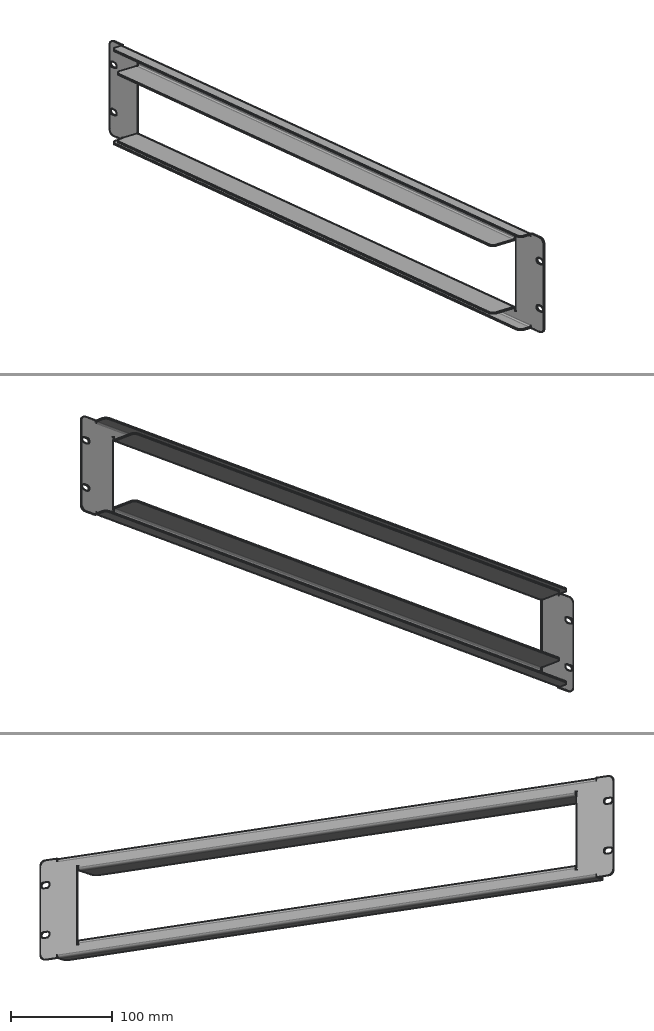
import cadquery as cq

panel_width = 676.5
panel_height = 100.0
sheet = 1.5
panel_corner_radius = 6.0

inner_bend_radius = 1.5
outer_bend_radius = inner_bend_radius + sheet
flange_corner_radius = 5.0

edge_flange_inset = 20.0
edge_flange_length = panel_width - 2 * edge_flange_inset
edge_flange_depth = 15.0

window_flange_length = 587.0
window_flange_depth = 30.0
window_flange_gap = 70.0
relief_width = 1.5
relief_depth = 1.5
window_width = window_flange_length + 2 * relief_width
window_height = window_flange_gap + 2 * outer_bend_radius

slot_length = 10.0
slot_width = 6.0
slot_edge_distance = 6.0
slot_spacing = 50.0




def panel_sheet():
    """Flat rectangular sheet with rounded corners."""
    sheet_blank = cq.Workplane("XZ").rect(panel_width, panel_height).extrude(sheet)
    return sheet_blank.edges("|Y").fillet(panel_corner_radius)


def window_opening():
    """Window between the bends, taller at both ends to form the bend reliefs."""
    opening = cq.Workplane("XZ").rect(window_width, window_height).extrude(sheet)
    reliefs = (
        cq.Workplane("XZ")
        .rarray(window_width - relief_width, 1, 2, 1)
        .rect(relief_width, window_height + 2 * relief_depth)
        .extrude(sheet)
    )
    return opening.union(reliefs)


def edge_fold_strips():
    """Strips of flat sheet that the folds of the edge flanges replace."""
    return (
        cq.Workplane("XZ")
        .rarray(1, panel_height, 1, 2)
        .rect(edge_flange_length, 2 * outer_bend_radius)
        .extrude(sheet)
    )


def mounting_slots():
    """Four horizontal slots near the ends of the panel."""
    return (
        cq.Workplane("XZ")
        .rarray(panel_width - 2 * slot_edge_distance, slot_spacing, 2, 2)
        .slot2D(slot_length, slot_width)
        .extrude(sheet)
    )


def folded_flange(length, depth, outer_z, panel_side):
    """Flange with its bend, for the upper half of the panel.

    outer_z is the height of the flange face on the outside of the bend.
    panel_side is -1 if the sheet continues below the fold and 1 if above.
    """
    bend_z = outer_z + panel_side * outer_bend_radius
    inner_z = outer_z + panel_side * sheet

    def mid_bend(radius):
        offset = radius * 0.5**0.5
        return offset - outer_bend_radius, bend_z - panel_side * offset

    flange = (
        cq.Workplane("YZ")
        .moveTo(0, bend_z)
        .threePointArc(mid_bend(outer_bend_radius), (-outer_bend_radius, outer_z))
        .lineTo(-depth, outer_z)
        .lineTo(-depth, inner_z)
        .lineTo(-outer_bend_radius, inner_z)
        .threePointArc(mid_bend(inner_bend_radius), (-sheet, bend_z))
        .close()
        .extrude(length / 2, both=True)
    )
    return flange.edges("|Z and <Y").fillet(flange_corner_radius)


edge_flange = folded_flange(edge_flange_length, edge_flange_depth, panel_height / 2, -1)
window_flange = folded_flange(window_flange_length, window_flange_depth, window_flange_gap / 2, 1)

result = panel_sheet().cut(window_opening()).cut(edge_fold_strips()).cut(mounting_slots())
for upper_flange in (edge_flange, window_flange):
    lower_flange = upper_flange.mirror("XY")
    result = result.union(upper_flange).union(lower_flange)